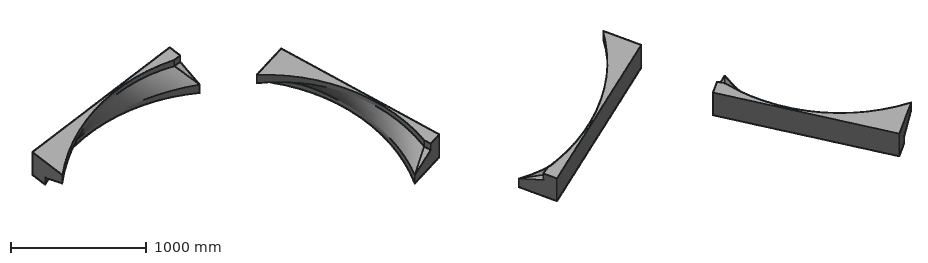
import cadquery as cq
import math

LENGTH = 1430.0
WIDTH = 313.0
HEIGHT = 260.0
HALF_LENGTH = LENGTH / 2

APEX_X = 16.0
APEX_Y = 149.0
ARC_RISE = WIDTH - APEX_X
ARC_RUN = HALF_LENGTH + APEX_Y
RADIUS = (ARC_RUN**2 + ARC_RISE**2) / (2 * ARC_RISE)

STRAIGHT_WALL = 60.0
UPPER_END_Y = HALF_LENGTH - STRAIGHT_WALL

EDGE_HEIGHT = 43.0
EDGE_SLOPE_X = 0.2
EDGE_SLOPE_Y = -0.012


def arc_x(distance):
    """X of either arc at a Y distance from its apex."""
    return APEX_X + RADIUS - math.sqrt(RADIUS**2 - distance**2)


UPPER_END_X = arc_x(UPPER_END_Y - APEX_Y)
LOWER_START_X = arc_x(HALF_LENGTH - APEX_Y)

UPPER_PLAN = [(WIDTH, -HALF_LENGTH), (APEX_X, APEX_Y), (UPPER_END_X, UPPER_END_Y)]
LOWER_PLAN = [(LOWER_START_X, -HALF_LENGTH), (APEX_X, -APEX_Y), (WIDTH, HALF_LENGTH)]


def bottom_z(x, y):
    return 0.0


def lower_edge_z(x, y):
    return EDGE_HEIGHT + EDGE_SLOPE_X * x + EDGE_SLOPE_Y * y


def upper_edge_z(x, y):
    return HEIGHT - lower_edge_z(x, -y)


def top_z(x, y):
    return HEIGHT


def lift(plan, height_at):
    """Place plan points at the height given by a function of X and Y."""
    return [cq.Vector(x, y, height_at(x, y)) for x, y in plan]


def polygon(*points):
    return cq.Face.makeFromWires(cq.Wire.makePolygon(points, close=True))


def outline(arc, *points):
    """Flat face bounded by an arc and straight lines from its end back to its start."""
    path = [arc.endPoint(), *points, arc.startPoint()]
    lines = [cq.Edge.makeLine(a, b) for a, b in zip(path, path[1:])]
    return cq.Face.makeFromWires(cq.Wire.assembleEdges([arc, *lines]))


bottom_arc = cq.Edge.makeThreePointArc(*lift(LOWER_PLAN, bottom_z))
lower_edge = cq.Edge.makeThreePointArc(*lift(LOWER_PLAN, lower_edge_z))
upper_edge = cq.Edge.makeThreePointArc(*lift(UPPER_PLAN, upper_edge_z))
top_arc = cq.Edge.makeThreePointArc(*lift(UPPER_PLAN, top_z))

back_bottom_start = cq.Vector(0, -HALF_LENGTH, 0)
back_bottom_end = cq.Vector(0, HALF_LENGTH, 0)
back_top_start = cq.Vector(0, -HALF_LENGTH, HEIGHT)
back_top_end = cq.Vector(0, HALF_LENGTH, HEIGHT)

wall_top = cq.Vector(UPPER_END_X, HALF_LENGTH, HEIGHT)
wall_foot = cq.Vector(UPPER_END_X, HALF_LENGTH, upper_edge_z(UPPER_END_X, HALF_LENGTH))

concave_side = [
    cq.Face.makeRuledSurface(bottom_arc, lower_edge),
    cq.Face.makeRuledSurface(lower_edge, upper_edge),
    cq.Face.makeRuledSurface(upper_edge, top_arc),
    polygon(upper_edge.endPoint(), wall_foot, wall_top, top_arc.endPoint()),
    polygon(upper_edge.endPoint(), lower_edge.endPoint(), wall_foot),
]

flat_faces = [
    outline(bottom_arc, back_bottom_end, back_bottom_start),
    outline(top_arc, wall_top, back_top_end, back_top_start),
    polygon(back_bottom_start, back_bottom_end, back_top_end, back_top_start),
    polygon(
        back_bottom_start,
        bottom_arc.startPoint(),
        lower_edge.startPoint(),
        upper_edge.startPoint(),
        top_arc.startPoint(),
        back_top_start,
    ),
    polygon(
        back_bottom_end,
        bottom_arc.endPoint(),
        lower_edge.endPoint(),
        wall_foot,
        wall_top,
        back_top_end,
    ),
]

shell = cq.Shell.makeShell(concave_side + flat_faces)
result = cq.Workplane("XY").newObject([cq.Solid.makeSolid(shell).fix()])